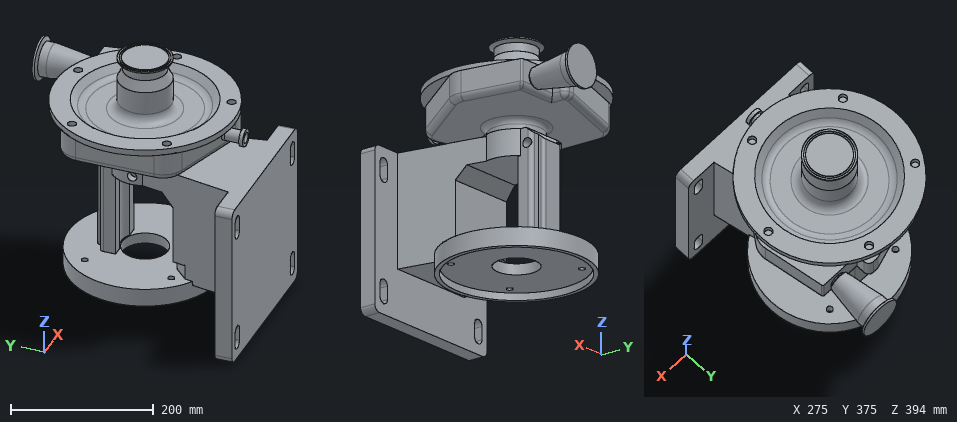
import cadquery as cq
import math


PLATE_SIDE = 249.8
PLATE_THICKNESS = 26.0
PLATE_FRONT_Y = -180.0
PLATE_CORNER_RADIUS = 10.2
SLOT_SPACING_X = 210.0
SLOT_SPACING_Z = 181.0
SLOT_LENGTH = 36.2
SLOT_WIDTH = 16.0
PLATE_BACK_Y = PLATE_FRONT_Y + PLATE_THICKNESS

MOTOR_FLANGE_RADIUS = 115.0
MOTOR_FLANGE_BOTTOM = 54.8
MOTOR_FLANGE_TOP = 82.7
MOTOR_BORE_RADIUS = 34.3
MOTOR_RECESS_RADIUS = 108.0
MOTOR_RECESS_DEPTH = 11.0
MOTOR_BOLT_CIRCLE_RADIUS = 92.0
MOTOR_BOLT_RADIUS = 4.7
MOTOR_BOLT_COUNT = 4
MOTOR_BOLT_START_ANGLE = 45

HUB_RADIUS = 50.0
HUB_BOTTOM = 212.8
HUB_TOP = 253.0
SET_SCREW_RADIUS = 7.0
SET_SCREW_Z = 225.8
SET_SCREW_DEPTH = 12
BLOCK_BOTTOM = 76.5
BLOCK_INNER_Y = -64.2
BLOCK_CHAMFER_Y = 18.0
BLOCK_CHAMFER_Z = 19.7
BLOCK_HUB_Y = -15.0
BLOCK_HUB_HALF_WIDTH = 47.5
BLOCK_PLATE_HALF_WIDTH = 74.0
CLEARANCE_TOP = 104.5
CLEARANCE_LENGTH = 20.0

COLUMN_HALF_WIDTH = 35.0
COLUMN_INNER_Y = 30.7
COLUMN_OUTER_Y = 55.5
COLUMN_EDGE_RADIUS = 6.7
COLUMN_BORE_RADIUS = 36.2
RIB_HALF_WIDTH = 19.7
RIB_OUTER_Y = 65.0
RIB_EDGE_RADIUS = 4.7
COLUMN_CHAMFER_Y = 19.7
COLUMN_CHAMFER_Z = 16.5
COLUMN_HOLE_RADIUS = 7.0
COLUMN_HOLE_Y = 47.0
COLUMN_HOLE_Z = 229.7

NECK_RADIUS = 41.8
NECK_FILLET = 9.0

CASING_BOTTOM = 272.3
CASING_TOP = 315.2
CASING_SIDES = 5
CASING_INRADIUS = 115.5
CASING_CORNER_RADIUS = 34.3
CASING_BOTTOM_FILLET = 9.5
LOBE_END_Y = 134
LOBE_END_X = 57.0
LOBE_RADIUS = 9.5
DISCHARGE_END_Y = 110.7
DISCHARGE_END_X = 124.0
DISCHARGE_ANGLE = 9
DISCHARGE_CORNER_RADIUS = 2.8

FLANGE_RADIUS = 135.0
FLANGE_TOP = 324.5
BOWL_RIM_RADIUS = 105.0
BOWL_WALL_RADIUS = 94.5
BOWL_FILLET = 16.0
COVER_BOLT_COUNT = 5
COVER_BOLT_CIRCLE_RADIUS = 121.5
COVER_BOLT_RADIUS = 6.5

SUCTION_TOP = 394
SUCTION_RADIUS = 39.5
SUCTION_NECK_RADIUS = 32.0
SUCTION_CONE_BOTTOM = 359.7
SUCTION_CONE_TOP = 375.0
SUCTION_FERRULE_EDGE = 2.5
SUCTION_FERRULE_TAPER = 3.5
SUCTION_FILLET = 14.5
GASKET_GROOVE_INNER_RADIUS = 33.5
GASKET_GROOVE_OUTER_RADIUS = 36.2
GASKET_GROOVE_DEPTH = 1.0

NOZZLE_X = 95.5
NOZZLE_Z = 292.7
NOZZLE_END_Y = 195.0
NOZZLE_FERRULE_RADIUS = 32.7
NOZZLE_FERRULE_EDGE = 3.5
NOZZLE_FERRULE_TAPER = 2.5
NOZZLE_WIDE_RADIUS = 25.5
NOZZLE_CONE_END_Y = 176.5
NOZZLE_CONE_START_Y = 114.0
NOZZLE_NARROW_RADIUS = 16.0
NOZZLE_ROOT_RADIUS = 13.5

DRAIN_Z = 295.5
DRAIN_END_Y = -151.5
DRAIN_ROOT_Y = -102.5
DRAIN_RADIUS = 9.5
DRAIN_FERRULE_RADIUS = 13.0
DRAIN_FERRULE_THICKNESS = 6.0
DRAIN_BORE_RADIUS = 8
DRAIN_BORE_DEPTH = 29.5


def cylinder(radius, bottom, top):
    """Cylinder on the pump axis between two heights."""
    return cq.Workplane("XY").workplane(offset=bottom).circle(radius).extrude(top - bottom)


def along_y(x, z, stations):
    """Revolved body about a line parallel to Y; stations are (radius, y) pairs."""
    profile = [(x, stations[0][1])]
    profile += [(x + radius, y) for radius, y in stations]
    profile += [(x, stations[-1][1])]
    plane = cq.Workplane("XY").workplane(offset=z)
    return plane.polyline(profile).close().revolve(360, (x, 0), (x, 1))


def bolt_holes(count, circle_radius, hole_radius, start_angle, bottom, top):
    """Ring of evenly spaced round cutters."""
    plane = cq.Workplane("XY").workplane(offset=bottom)
    centres = plane.polarArray(circle_radius, start_angle, 360, count)
    return centres.circle(hole_radius).extrude(top - bottom)


def mounting_plate():
    centre_z = PLATE_SIDE / 2
    centre = (0, PLATE_BACK_Y - PLATE_THICKNESS / 2, centre_z)
    plate = cq.Workplane("XY").box(PLATE_SIDE, PLATE_THICKNESS, PLATE_SIDE).translate(centre)
    plate = plate.edges("|Y").fillet(PLATE_CORNER_RADIUS)
    slots = (
        cq.Workplane("XZ", origin=(0, PLATE_BACK_Y, centre_z))
        .rarray(SLOT_SPACING_X, SLOT_SPACING_Z, 2, 2)
        .slot2D(SLOT_LENGTH, SLOT_WIDTH, 90)
        .extrude(PLATE_THICKNESS)
    )
    return plate.cut(slots)


def motor_flange():
    """Bored flange with a wide locating recess underneath."""
    flange = cylinder(MOTOR_FLANGE_RADIUS, MOTOR_FLANGE_BOTTOM, MOTOR_FLANGE_TOP)
    flange = flange.cut(cylinder(MOTOR_BORE_RADIUS, MOTOR_FLANGE_BOTTOM, MOTOR_FLANGE_TOP))
    recess_top = MOTOR_FLANGE_BOTTOM + MOTOR_RECESS_DEPTH
    flange = flange.cut(cylinder(MOTOR_RECESS_RADIUS, MOTOR_FLANGE_BOTTOM, recess_top))
    return flange.cut(
        bolt_holes(
            MOTOR_BOLT_COUNT, MOTOR_BOLT_CIRCLE_RADIUS, MOTOR_BOLT_RADIUS, MOTOR_BOLT_START_ANGLE,
            MOTOR_FLANGE_BOTTOM, MOTOR_FLANGE_TOP,
        )
    )


def hub():
    """Round hub, cut off behind by the inner face of the column, with a set-screw hole."""
    body = cylinder(HUB_RADIUS, HUB_BOTTOM, HUB_TOP)
    rear_y = math.sqrt(HUB_RADIUS ** 2 - COLUMN_HALF_WIDTH ** 2)
    rear = cq.Workplane("XY").box(
        2 * HUB_RADIUS, HUB_RADIUS, HUB_TOP, centered=(True, False, False)
    ).translate((0, rear_y, 0))
    set_screw = (
        cq.Workplane("YZ", origin=(-HUB_RADIUS, 0, SET_SCREW_Z))
        .circle(SET_SCREW_RADIUS)
        .extrude(SET_SCREW_DEPTH)
    )
    return body.cut(rear).cut(set_screw)


def bracket_block():
    """Block that widens towards the plate, cut away above and in front of the motor flange."""
    widening = (
        cq.Workplane("XY")
        .polyline([
            (-BLOCK_HUB_HALF_WIDTH, BLOCK_HUB_Y),
            (BLOCK_HUB_HALF_WIDTH, BLOCK_HUB_Y),
            (BLOCK_PLATE_HALF_WIDTH, PLATE_BACK_Y),
            (-BLOCK_PLATE_HALF_WIDTH, PLATE_BACK_Y),
        ])
        .close()
        .extrude(PLATE_SIDE)
    )
    side_profile = (
        cq.Workplane("YZ")
        .polyline([
            (BLOCK_HUB_Y, PLATE_SIDE),
            (PLATE_BACK_Y, PLATE_SIDE),
            (PLATE_BACK_Y, BLOCK_BOTTOM),
            (BLOCK_INNER_Y, BLOCK_BOTTOM),
            (BLOCK_INNER_Y, HUB_BOTTOM - BLOCK_CHAMFER_Z),
            (BLOCK_INNER_Y + BLOCK_CHAMFER_Y, HUB_BOTTOM),
            (BLOCK_HUB_Y, HUB_BOTTOM),
        ])
        .close()
        .extrude(BLOCK_PLATE_HALF_WIDTH, both=True)
    )
    block = widening.intersect(side_profile)

    widening_rate = (BLOCK_PLATE_HALF_WIDTH - BLOCK_HUB_HALF_WIDTH) / (BLOCK_HUB_Y - PLATE_BACK_Y)
    clearance_end_y = BLOCK_INNER_Y - CLEARANCE_LENGTH
    end_half_width = BLOCK_HUB_HALF_WIDTH + widening_rate * (BLOCK_HUB_Y - clearance_end_y)
    for side in (-1, 1):
        relief = (
            cq.Workplane("XY", origin=(0, 0, MOTOR_FLANGE_TOP))
            .polyline([
                (side * end_half_width, clearance_end_y),
                (side * end_half_width, BLOCK_INNER_Y),
                (side * (end_half_width - CLEARANCE_LENGTH), BLOCK_INNER_Y),
            ])
            .close()
            .extrude(CLEARANCE_TOP - MOTOR_FLANGE_TOP)
        )
        block = block.cut(relief)
    return block


def rear_column():
    """T-shaped column from the motor flange up to the hub, hollowed around the pump axis."""
    height = HUB_TOP - MOTOR_FLANGE_TOP
    base = cq.Workplane("XY", origin=(0, 0, MOTOR_FLANGE_TOP))
    depth = COLUMN_OUTER_Y - COLUMN_INNER_Y
    web = base.center(0, COLUMN_INNER_Y).rect(2 * COLUMN_HALF_WIDTH, 2 * depth).extrude(height)
    web = web.edges("|Z and >Y").fillet(COLUMN_EDGE_RADIUS)
    rib = base.center(0, COLUMN_INNER_Y).rect(
        2 * RIB_HALF_WIDTH, 2 * (RIB_OUTER_Y - COLUMN_INNER_Y)
    ).extrude(height)
    rib = rib.edges("|Z and >Y").fillet(RIB_EDGE_RADIUS)
    inner_side = base.rect(4 * COLUMN_HALF_WIDTH, 2 * COLUMN_INNER_Y).extrude(height)
    column = web.union(rib).cut(inner_side)
    column = column.cut(cylinder(COLUMN_BORE_RADIUS, MOTOR_FLANGE_TOP, HUB_BOTTOM))
    top_chamfer = (
        cq.Workplane("YZ")
        .polyline([
            (RIB_OUTER_Y, HUB_TOP),
            (RIB_OUTER_Y - COLUMN_CHAMFER_Y, HUB_TOP),
            (RIB_OUTER_Y, HUB_TOP - COLUMN_CHAMFER_Z),
        ])
        .close()
        .extrude(COLUMN_HALF_WIDTH, both=True)
    )
    cross_hole = (
        cq.Workplane("YZ")
        .center(COLUMN_HOLE_Y, COLUMN_HOLE_Z)
        .circle(COLUMN_HOLE_RADIUS)
        .extrude(COLUMN_HALF_WIDTH, both=True)
    )
    return column.cut(top_chamfer).cut(cross_hole)


def bearing_neck():
    """Neck that flares into the underside of the casing."""
    flare_start = CASING_BOTTOM - NECK_FILLET
    flare_radius = NECK_RADIUS + NECK_FILLET
    inset = NECK_FILLET * (1 - math.sqrt(0.5))
    profile = (
        cq.Workplane("XZ")
        .moveTo(0, HUB_TOP)
        .lineTo(NECK_RADIUS, HUB_TOP)
        .lineTo(NECK_RADIUS, flare_start)
        .threePointArc((NECK_RADIUS + inset, CASING_BOTTOM - inset), (flare_radius, CASING_BOTTOM))
        .lineTo(0, CASING_BOTTOM)
        .close()
    )
    return profile.revolve(360, (0, 0), (0, 1))


def casing():
    """Five-sided body whose discharge side is straightened into a block and a short lobe."""
    half_side_angle = math.pi / CASING_SIDES
    corner_distance = CASING_INRADIUS / math.cos(half_side_angle)

    def corner(index):
        angle = 2 * half_side_angle * index
        return (corner_distance * math.cos(angle), corner_distance * math.sin(angle))

    face_angle = -half_side_angle
    slope = math.tan(math.radians(DISCHARGE_ANGLE))
    reach = CASING_INRADIUS - DISCHARGE_END_X * math.cos(face_angle)
    reach -= DISCHARGE_END_Y * math.sin(face_angle)
    drop = reach / (slope * math.cos(face_angle) - math.sin(face_angle))
    discharge_root = (DISCHARGE_END_X + slope * drop, DISCHARGE_END_Y - drop)

    rear_angle = 3 * half_side_angle
    lobe_start_x = (CASING_INRADIUS - LOBE_END_Y * math.sin(rear_angle)) / math.cos(rear_angle)

    outline = [
        corner(2),
        corner(3),
        corner(4),
        discharge_root,
        (DISCHARGE_END_X, DISCHARGE_END_Y),
        (LOBE_END_X, DISCHARGE_END_Y),
        (LOBE_END_X, LOBE_END_Y),
        (lobe_start_x, LOBE_END_Y),
    ]
    rounded = [
        (corner(2), CASING_CORNER_RADIUS),
        (corner(3), CASING_CORNER_RADIUS),
        (corner(4), CASING_CORNER_RADIUS),
        (discharge_root, CASING_CORNER_RADIUS),
        ((DISCHARGE_END_X, DISCHARGE_END_Y), DISCHARGE_CORNER_RADIUS),
        ((LOBE_END_X, LOBE_END_Y), LOBE_RADIUS),
    ]
    body = (
        cq.Workplane("XY", origin=(0, 0, CASING_BOTTOM))
        .polyline(outline)
        .close()
        .extrude(CASING_TOP - CASING_BOTTOM)
    )
    middle_z = (CASING_BOTTOM + CASING_TOP) / 2
    for (x, y), radius in rounded:
        body = body.edges(cq.NearestToPointSelector((x, y, middle_z))).fillet(radius)
    return body.faces("<Z").edges().fillet(CASING_BOTTOM_FILLET)


def casing_flange():
    """Round flange with blind cover-bolt holes."""
    flange = cylinder(FLANGE_RADIUS, CASING_TOP, FLANGE_TOP)
    return flange.cut(
        bolt_holes(
            COVER_BOLT_COUNT, COVER_BOLT_CIRCLE_RADIUS, COVER_BOLT_RADIUS, 0,
            CASING_TOP, FLANGE_TOP,
        )
    )


def bowl_and_suction():
    """Return the bowl recess around the suction pipe, and the pipe itself."""
    wall_bottom = FLANGE_TOP - (BOWL_RIM_RADIUS - BOWL_WALL_RADIUS)
    sine_45 = math.sin(math.radians(45))
    half_wall_angle = math.radians(22.5)
    floor_radius = BOWL_WALL_RADIUS - BOWL_FILLET * sine_45
    floor_z = wall_bottom - BOWL_FILLET * (1 - sine_45)
    fillet_middle = (
        floor_radius + BOWL_FILLET * math.sin(half_wall_angle),
        floor_z + BOWL_FILLET * (1 - math.cos(half_wall_angle)),
    )
    recess = (
        cq.Workplane("XZ")
        .moveTo(0, FLANGE_TOP)
        .lineTo(BOWL_RIM_RADIUS, FLANGE_TOP)
        .lineTo(BOWL_WALL_RADIUS, wall_bottom)
        .threePointArc(fillet_middle, (floor_radius, floor_z))
        .lineTo(0, floor_z)
        .close()
        .revolve(360, (0, 0), (0, 1))
    )

    ferrule_bottom = SUCTION_TOP - SUCTION_FERRULE_EDGE
    inset = SUCTION_FILLET * (1 - sine_45)
    pipe = (
        cq.Workplane("XZ")
        .moveTo(0, floor_z)
        .lineTo(SUCTION_RADIUS + SUCTION_FILLET, floor_z)
        .threePointArc(
            (SUCTION_RADIUS + inset, floor_z + inset), (SUCTION_RADIUS, floor_z + SUCTION_FILLET)
        )
        .lineTo(SUCTION_RADIUS, SUCTION_CONE_BOTTOM)
        .lineTo(SUCTION_NECK_RADIUS, SUCTION_CONE_TOP)
        .lineTo(SUCTION_NECK_RADIUS, ferrule_bottom - SUCTION_FERRULE_TAPER)
        .lineTo(SUCTION_RADIUS, ferrule_bottom)
        .lineTo(SUCTION_RADIUS, SUCTION_TOP)
        .lineTo(0, SUCTION_TOP)
        .close()
        .revolve(360, (0, 0), (0, 1))
    )
    groove_bottom = SUCTION_TOP - GASKET_GROOVE_DEPTH
    gasket_groove = cylinder(GASKET_GROOVE_OUTER_RADIUS, groove_bottom, SUCTION_TOP).cut(
        cylinder(GASKET_GROOVE_INNER_RADIUS, groove_bottom, SUCTION_TOP)
    )
    return recess, pipe.cut(gasket_groove)


def discharge_nozzle():
    ferrule_y = NOZZLE_END_Y - NOZZLE_FERRULE_EDGE
    return along_y(NOZZLE_X, NOZZLE_Z, [
        (NOZZLE_ROOT_RADIUS, DISCHARGE_END_Y),
        (NOZZLE_ROOT_RADIUS, NOZZLE_CONE_START_Y),
        (NOZZLE_NARROW_RADIUS, NOZZLE_CONE_START_Y),
        (NOZZLE_WIDE_RADIUS, NOZZLE_CONE_END_Y),
        (NOZZLE_WIDE_RADIUS, ferrule_y - NOZZLE_FERRULE_TAPER),
        (NOZZLE_FERRULE_RADIUS, ferrule_y),
        (NOZZLE_FERRULE_RADIUS, NOZZLE_END_Y),
    ])


def drain_nozzle():
    ferrule_y = DRAIN_END_Y + DRAIN_FERRULE_THICKNESS
    return along_y(0, DRAIN_Z, [
        (DRAIN_RADIUS, DRAIN_ROOT_Y),
        (DRAIN_RADIUS, ferrule_y),
        (DRAIN_FERRULE_RADIUS, ferrule_y),
        (DRAIN_FERRULE_RADIUS, DRAIN_END_Y),
    ])


def drain_bore():
    return along_y(0, DRAIN_Z, [
        (DRAIN_BORE_RADIUS, DRAIN_END_Y),
        (DRAIN_BORE_RADIUS, DRAIN_END_Y + DRAIN_BORE_DEPTH),
    ])


bowl_recess, suction_pipe = bowl_and_suction()

bracket = (
    mounting_plate()
    .union(bracket_block())
    .union(motor_flange())
    .union(rear_column())
    .union(hub())
)
pump = (
    casing()
    .union(casing_flange())
    .cut(bowl_recess)
    .union(suction_pipe)
    .union(bearing_neck())
    .union(discharge_nozzle())
    .union(drain_nozzle())
    .cut(drain_bore())
)
result = bracket.union(pump)